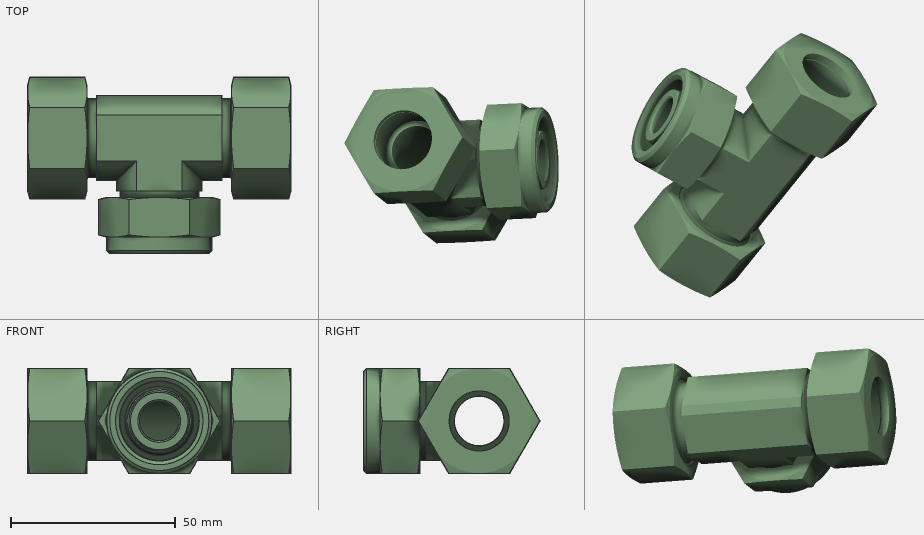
import cadquery as cq
import math

RUN_LENGTH = 80.0
RUN_END = RUN_LENGTH / 2
BRANCH_END = 35.1

NUT_FLATS = 32.0
NUT_CORNER_RADIUS = NUT_FLATS / math.sqrt(3)
NUT_FACE_RADIUS = 15.9
NUT_CHAMFER_ANGLE = 15.0
COUNTERSINK_RADIUS = 13.3

END_NUT_LENGTH = 18.1
END_NUT_BACK = RUN_END - END_NUT_LENGTH
END_NUT_LIP = 2.4
TUBE_OPENING_RADIUS = 9.1
THREAD_RADIUS = 12.8
END_GAP = 0.4

SWIVEL_BACK = 18.0
SWIVEL_HEX_LENGTH = 12.1
COLLAR_RADIUS = NUT_FLATS / 2
COLLAR_CHAMFER = 1.0
SWIVEL_THREAD_RADIUS = 12.2

ARM_FLATS = 24.0
ARM_SIDE = 13.0
RUN_ARM_LENGTH = 19.0
BRANCH_ARM_LENGTH = 16.1
NECK_RADIUS = 12.0
NECK_END = 21.6
SOCKET_RADIUS = TUBE_OPENING_RADIUS
SOCKET_BOTTOM = 23.5
RUN_BORE_RADIUS = 7.5
BRANCH_BORE_RADIUS = 6.0
BRANCH_BORE_CHAMFER = 0.5

CONE_HALF_ANGLE = 12.0
CONE_TIP_RADIUS = 8.7
CONE_BASE_RADIUS = 10.5
CONE_TIP_RECESS = 1.0
CONE_TIP = BRANCH_END - CONE_TIP_RECESS
CONE_SLOPE = math.tan(math.radians(CONE_HALF_ANGLE))
CONE_BASE = CONE_TIP - (CONE_BASE_RADIUS - CONE_TIP_RADIUS) / CONE_SLOPE

RING_OUTER_RADIUS = 9.8
RING_SECTION = 1.8
RING_CENTRE_RADIUS = RING_OUTER_RADIUS - RING_SECTION / 2
GROOVE_SETBACK = 2.2
GROOVE_FRONT = CONE_TIP - GROOVE_SETBACK
GROOVE_BACK = GROOVE_FRONT - RING_SECTION
GROOVE_RADIUS = RING_OUTER_RADIUS - RING_SECTION

ORIGIN = (0, 0, 0)


def onto_run(shape, side):
    """Turn a shape made along +Z onto the +X or -X arm."""
    return shape.rotate(ORIGIN, (0, 1, 0), side * 90)


def onto_branch(shape):
    """Turn a shape made along +Z onto the -Y arm."""
    return shape.rotate(ORIGIN, (1, 0, 0), 90)


def turned(outline):
    """Revolve an outline of (radius, height) points about the Z axis."""
    return cq.Workplane("XZ").polyline(outline).close().revolve(360, (0, 0), (0, 1))


def rod(radius, start, end):
    """Cylinder on the Z axis between two heights."""
    return cq.Workplane("XY").workplane(offset=start).circle(radius).extrude(end - start)


def chamfered_hexagon(start, end, corner_direction):
    """Hexagonal prism along Z whose corners are turned off at both ends."""
    drop = (NUT_CORNER_RADIUS - NUT_FACE_RADIUS) * math.tan(math.radians(NUT_CHAMFER_ANGLE))
    prism = (
        cq.Workplane("XY")
        .workplane(offset=start)
        .polygon(6, 2 * NUT_CORNER_RADIUS)
        .extrude(end - start)
        .rotate(ORIGIN, (0, 0, 1), corner_direction)
    )
    envelope = turned([
        (0, start),
        (NUT_FACE_RADIUS, start),
        (NUT_CORNER_RADIUS, start + drop),
        (NUT_CORNER_RADIUS, end - drop),
        (NUT_FACE_RADIUS, end),
        (0, end),
    ])
    return prism.intersect(envelope)


def make_end_nut(side):
    """Nut that clamps a tube at one end of the run."""
    countersink = COUNTERSINK_RADIUS - THREAD_RADIUS
    shoulder = RUN_END - END_NUT_LIP
    opening = turned([
        (0, END_NUT_BACK),
        (COUNTERSINK_RADIUS, END_NUT_BACK),
        (THREAD_RADIUS, END_NUT_BACK + countersink),
        (THREAD_RADIUS, shoulder),
        (TUBE_OPENING_RADIUS, shoulder),
        (TUBE_OPENING_RADIUS, RUN_END),
        (0, RUN_END),
    ])
    nut = chamfered_hexagon(END_NUT_BACK, RUN_END, 90).cut(opening)
    return onto_run(nut, side)


def make_swivel_nut():
    """Nut with a round collar that turns on the branch neck."""
    hex_end = SWIVEL_BACK + SWIVEL_HEX_LENGTH
    countersink = COUNTERSINK_RADIUS - SWIVEL_THREAD_RADIUS
    collar = rod(COLLAR_RADIUS, hex_end, BRANCH_END).faces(">Z").chamfer(COLLAR_CHAMFER)
    opening = turned([
        (0, SWIVEL_BACK),
        (NECK_RADIUS, SWIVEL_BACK),
        (NECK_RADIUS, CONE_BASE),
        (SWIVEL_THREAD_RADIUS, CONE_BASE),
        (SWIVEL_THREAD_RADIUS, BRANCH_END - countersink),
        (COUNTERSINK_RADIUS, BRANCH_END),
        (0, BRANCH_END),
    ])
    nut = chamfered_hexagon(SWIVEL_BACK, hex_end, 0).union(collar).cut(opening)
    return onto_branch(nut)


def arm_block(start, end, corner_direction):
    """Forged arm along Z: a hexagon with its two side corners cut off."""
    corner_radius = ARM_FLATS / math.sqrt(3)
    height = end - start
    hexagon = cq.Workplane("XY").workplane(offset=start).polygon(6, 2 * corner_radius).extrude(height)
    limits = cq.Workplane("XY").workplane(offset=start).rect(2 * ARM_SIDE, ARM_FLATS).extrude(height)
    return hexagon.intersect(limits).rotate(ORIGIN, (0, 0, 1), corner_direction)


def run_connection():
    """Neck and threaded end of one run arm."""
    flare = THREAD_RADIUS - NECK_RADIUS
    thread_end = RUN_END - END_NUT_LIP - END_GAP
    return turned([
        (0, 0),
        (NECK_RADIUS, 0),
        (NECK_RADIUS, NECK_END),
        (THREAD_RADIUS, NECK_END + flare),
        (THREAD_RADIUS, thread_end),
        (0, thread_end),
    ])


def branch_connection():
    """Neck and sealing cone of the branch arm, with the groove for the O-ring."""
    def cone_radius(height):
        return CONE_TIP_RADIUS + (CONE_TIP - height) * CONE_SLOPE

    return turned([
        (0, 0),
        (NECK_RADIUS, 0),
        (NECK_RADIUS, CONE_BASE),
        (CONE_BASE_RADIUS, CONE_BASE),
        (cone_radius(GROOVE_BACK), GROOVE_BACK),
        (GROOVE_RADIUS, GROOVE_BACK),
        (GROOVE_RADIUS, GROOVE_FRONT),
        (cone_radius(GROOVE_FRONT), GROOVE_FRONT),
        (CONE_TIP_RADIUS, CONE_TIP),
        (0, CONE_TIP),
    ])


def branch_bore():
    """Bore of the branch with a chamfered mouth."""
    return turned([
        (0, 0),
        (BRANCH_BORE_RADIUS, 0),
        (BRANCH_BORE_RADIUS, CONE_TIP - BRANCH_BORE_CHAMFER),
        (BRANCH_BORE_RADIUS + BRANCH_BORE_CHAMFER, CONE_TIP),
        (0, CONE_TIP),
    ])


def make_tee():
    """Tee body with two tube sockets and a sealing cone."""
    body = onto_run(arm_block(-RUN_ARM_LENGTH, RUN_ARM_LENGTH, 90), 1)
    body = body.union(onto_branch(arm_block(0, BRANCH_ARM_LENGTH, 0)))
    for side in (-1, 1):
        body = body.union(onto_run(run_connection(), side))
    body = body.union(onto_branch(branch_connection()))

    body = body.cut(onto_run(rod(RUN_BORE_RADIUS, -RUN_END, RUN_END), 1))
    for side in (-1, 1):
        body = body.cut(onto_run(rod(SOCKET_RADIUS, SOCKET_BOTTOM, RUN_END), side))
    return body.cut(onto_branch(branch_bore()))


def make_seal_ring():
    """O-ring seated in the groove of the sealing cone."""
    ring = (
        cq.Workplane("XZ")
        .center(RING_CENTRE_RADIUS, (GROOVE_FRONT + GROOVE_BACK) / 2)
        .circle(RING_SECTION / 2)
        .revolve(360, (-RING_CENTRE_RADIUS, 0), (-RING_CENTRE_RADIUS, 1))
    )
    return onto_branch(ring)


tee = make_tee()
end_nuts = [make_end_nut(side) for side in (-1, 1)]
swivel_nut = make_swivel_nut()
seal_ring = make_seal_ring()

result = cq.Compound.makeCompound([
    tee.solids().val(),
    *[nut.solids().val() for nut in end_nuts],
    swivel_nut.solids().val(),
    seal_ring.solids().val(),
])